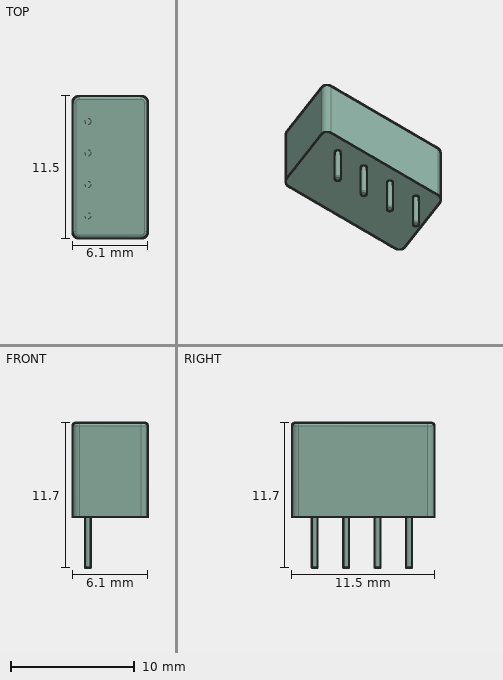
import cadquery as cq

body_width = 6.1
body_length = 11.53
body_height = 7.62
corner_radius = 0.56
top_edge_radius = 0.28

pin_count = 4
pin_pitch = 2.54
pin_diameter = 0.5
pin_length = 4.1
pin_tip_radius = 0.1
pin_row_x = -1.8
pin_row_center_y = -0.11


def make_body():
    """Box with rounded vertical corners and a rounded top rim."""
    body = cq.Workplane("XY").box(body_width, body_length, body_height, centered=(True, True, False))
    body = body.edges("|Z").fillet(corner_radius)
    return body.faces(">Z").edges().fillet(top_edge_radius)


def make_pin(y):
    """Round pin hanging from the underside, with a rounded tip edge."""
    pin = cq.Workplane("XY").center(pin_row_x, y).circle(pin_diameter / 2).extrude(-pin_length)
    return pin.faces("<Z").edges().fillet(pin_tip_radius)


result = make_body()
first_pin_y = pin_row_center_y - (pin_count - 1) * pin_pitch / 2
for index in range(pin_count):
    result = result.union(make_pin(first_pin_y + index * pin_pitch))